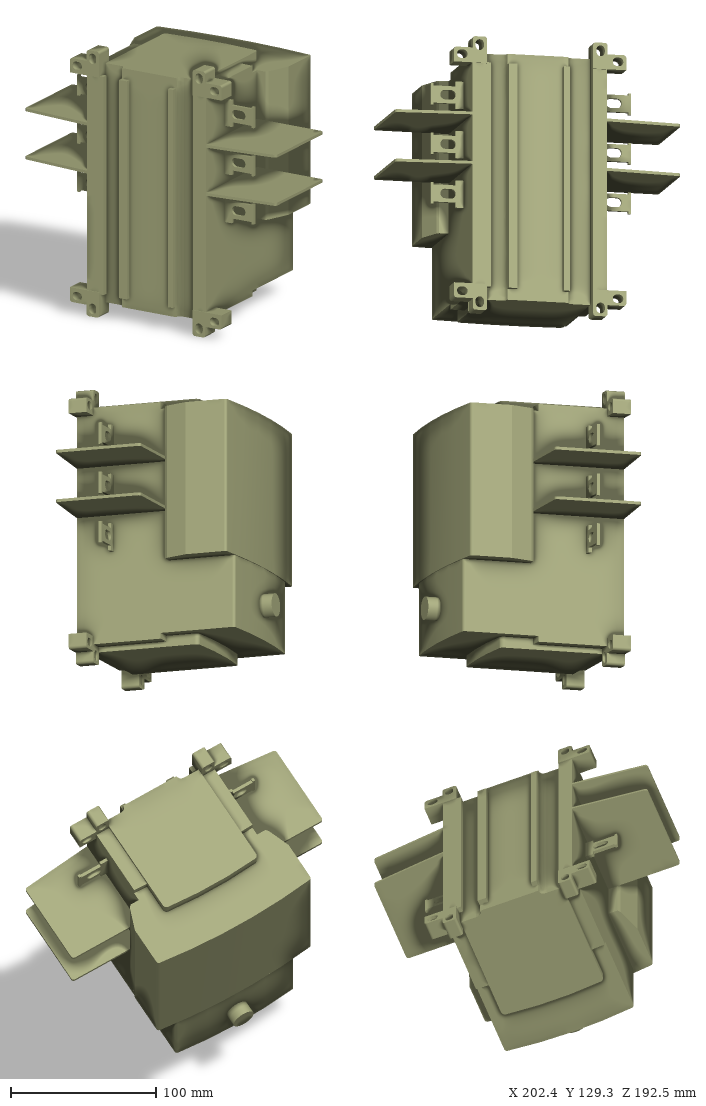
import cadquery as cq


overall_height = 192.5

body_half_x = 47.8
body_front_y = 0.8
body_crown_y = 120.4
body_edge_y = 117.5
body_fillet = 2.0
body_top_z = 78.5
body_bottom_z = -79.3

shoulder_half_z = 83.4
shoulder_crown_y = 64.0
shoulder_edge_y = 62.7

core_half_x = 37.6
core_top_z = 86.0
core_bottom_z = -87.0
core_crown_y = 88.6
core_edge_y = 86.6
core_fillet = 3.0
core_side_y = 8.5
core_pad_y = 4.9
pad_left_x = -22.0
pad_right_x = 21.2
pad_blend_x = 4.5

rib_left_end_x = -15.8
rib_right_start_x = 17.2
lip_end_x = -34.6

hood_half_x = 62.1
hood_bottom_z = -28.7
hood_crown_y = 121.0
hood_edge_y = 117.0
hood_fillet = 2.0
hood_taper_y = 87.0
hood_foot_half_x = 56.0
hood_foot_y = 70.6
hood_front_half_x = 54.5
hood_front_y = 68.8

knob_diameter = 16.2
knob_x = 0.2
knob_end_y = 129.3
knob_z = -55.2

terminal_pitch = 34.8
terminal_middle_z = 24.9
terminal_y = 27.1
terminal_thickness = 2.2
terminal_root_x = 53.5
terminal_root_height = 19.2
terminal_tab_height = 12.1
terminal_tip_x = 71.0
terminal_tip_length = 1.8
terminal_tip_height = 15.2
slot_inner_x = 53.5
slot_outer_x = 64.3
slot_height = 6.7

barrier_half_x = 101.2
barrier_thickness = 2.0
barrier_back_y = hood_front_y
barrier_outer_front_y = 6.0
barrier_mid_x = 72.8
barrier_mid_front_y = 3.2
barrier_fillet = 2.0

foot_depth = 13.2
foot_inner_x = 37.6
foot_outer_x = 61.1
foot_inner_z = 77.7
foot_side_z = 88.2
foot_outer_z = overall_height / 2
foot_fillet = 1.8
foot_hole_length = 7.5
foot_hole_width = 5.9
upright_hole_x = 42.9
upright_hole_z = 90.5
side_hole_x = 55.2
side_hole_z = 83.4


def box(x_range, y_range, z_range):
    """Box between the given limits on each axis."""
    (x0, x1), (y0, y1), (z0, z1) = x_range, y_range, z_range
    return cq.Workplane("XY").box(x1 - x0, y1 - y0, z1 - z0, centered=False).translate((x0, y0, z0))


def crowned_block(half_x, front_y, edge_y, crown_y, bottom_z, top_z):
    """Block whose rear face is a shallow arc rising from edge_y to crown_y."""
    return (
        cq.Workplane("XY", origin=(0, 0, bottom_z))
        .moveTo(-half_x, front_y)
        .lineTo(-half_x, edge_y)
        .threePointArc((0, crown_y), (half_x, edge_y))
        .lineTo(half_x, front_y)
        .close()
        .extrude(top_z - bottom_z)
    )


def mirror_x(solid):
    """The solid together with its mirror image on the other side of X = 0."""
    return solid.union(solid.mirror("YZ"))


def make_body():
    body = crowned_block(body_half_x, body_front_y, body_edge_y, body_crown_y, body_bottom_z, body_top_z)
    body = body.edges("|Z").edges(">Y").fillet(body_fillet)
    shoulders = crowned_block(
        body_half_x, body_front_y, shoulder_edge_y, shoulder_crown_y, -shoulder_half_z, shoulder_half_z
    )
    recess = box((-core_half_x, core_half_x), (0, core_side_y), (-shoulder_half_z, shoulder_half_z))
    return body.union(shoulders).cut(recess)


def make_core():
    core = crowned_block(core_half_x, core_side_y, core_edge_y, core_crown_y, core_bottom_z, core_top_z)
    core = core.edges("|Z").edges(">Y").fillet(core_fillet)
    pad = (
        cq.Workplane("XY", origin=(0, 0, core_bottom_z))
        .moveTo(pad_left_x, core_pad_y)
        .lineTo(pad_right_x, core_pad_y)
        .spline([(pad_right_x + pad_blend_x, core_side_y)], tangents=[(0, 1), (1, 0)], includeCurrent=True)
        .lineTo(pad_left_x - pad_blend_x, core_side_y)
        .spline([(pad_left_x, core_pad_y)], tangents=[(1, 0), (0, -1)], includeCurrent=True)
        .close()
        .extrude(core_top_z - core_bottom_z)
    )
    return core.union(pad)


def make_front_ribs():
    z_range = (body_bottom_z, body_top_z)
    y_range = (body_front_y, core_pad_y)
    left_rib = box((pad_left_x, rib_left_end_x), y_range, z_range)
    right_rib = box((rib_right_start_x, pad_right_x), y_range, z_range)
    lip = box((-body_half_x, lip_end_x), y_range, z_range)
    return left_rib.union(right_rib).union(lip)


def make_hood():
    hood = (
        cq.Workplane("XY", origin=(0, 0, hood_bottom_z))
        .moveTo(-hood_front_half_x, hood_front_y)
        .lineTo(-hood_foot_half_x, hood_foot_y)
        .lineTo(-hood_half_x, hood_taper_y)
        .lineTo(-hood_half_x, hood_edge_y)
        .threePointArc((0, hood_crown_y), (hood_half_x, hood_edge_y))
        .lineTo(hood_half_x, hood_taper_y)
        .lineTo(hood_foot_half_x, hood_foot_y)
        .lineTo(hood_front_half_x, hood_front_y)
        .close()
        .extrude(body_top_z - hood_bottom_z)
    )
    return hood.edges("|Z").edges(">Y").fillet(hood_fillet)


def make_knob():
    knob_base_y = core_crown_y
    return (
        cq.Workplane("XZ", origin=(knob_x, knob_base_y, knob_z))
        .circle(knob_diameter / 2)
        .extrude(knob_base_y - knob_end_y)
    )


def make_terminal(z):
    """Slotted tab on the +X side with a wide root and a flanged tip."""
    y_range = (terminal_y - terminal_thickness / 2, terminal_y + terminal_thickness / 2)

    def plate(x0, x1, height):
        return box((x0, x1), y_range, (z - height / 2, z + height / 2))

    tab = plate(core_half_x, terminal_tip_x, terminal_tab_height)
    tab = tab.union(plate(core_half_x, terminal_root_x, terminal_root_height))
    tab = tab.union(plate(terminal_tip_x - terminal_tip_length, terminal_tip_x, terminal_tip_height))
    slot = (
        cq.Workplane("XZ", origin=((slot_inner_x + slot_outer_x) / 2, terminal_y, z))
        .slot2D(slot_outer_x - slot_inner_x, slot_height)
        .extrude(terminal_thickness, both=True)
    )
    return tab.cut(slot)


def make_barrier(z):
    """Thin plate on the +X side with a slightly bowed front edge."""
    plate = (
        cq.Workplane("XY", origin=(0, 0, z - barrier_thickness / 2))
        .moveTo(core_half_x, barrier_back_y)
        .lineTo(barrier_half_x, barrier_back_y)
        .lineTo(barrier_half_x, barrier_outer_front_y)
        .threePointArc((barrier_mid_x, barrier_mid_front_y), (body_half_x, body_front_y))
        .lineTo(core_half_x, body_front_y)
        .close()
        .extrude(barrier_thickness)
    )
    return plate.edges("|Z").edges(">X").fillet(barrier_fillet)


def make_foot():
    """L-shaped foot in the +X, +Z corner with one hole in each arm."""
    y_range = (0, foot_depth)
    upright = box((foot_inner_x, body_half_x), y_range, (foot_inner_z, foot_outer_z))
    upright = upright.edges("|Y").edges(">Z").fillet(foot_fillet)
    side_arm = box((foot_inner_x, foot_outer_x), y_range, (foot_inner_z, foot_side_z))
    side_arm = side_arm.edges("|Y").edges(">X").edges(">Z").fillet(foot_fillet)
    foot = upright.union(side_arm)
    for x, z, angle in ((upright_hole_x, upright_hole_z, 90), (side_hole_x, side_hole_z, 0)):
        hole = (
            cq.Workplane("XZ", origin=(x, 0, z))
            .slot2D(foot_hole_length, foot_hole_width, angle)
            .extrude(-foot_depth)
        )
        foot = foot.cut(hole)
    return foot


result = make_body().union(make_core()).union(make_front_ribs()).union(make_hood()).union(make_knob())

for step in (-1, 0, 1):
    result = result.union(mirror_x(make_terminal(terminal_middle_z + step * terminal_pitch)))

for step in (-0.5, 0.5):
    result = result.union(mirror_x(make_barrier(terminal_middle_z + step * terminal_pitch)))

upper_feet = mirror_x(make_foot())
result = result.union(upper_feet).union(upper_feet.mirror("XY"))